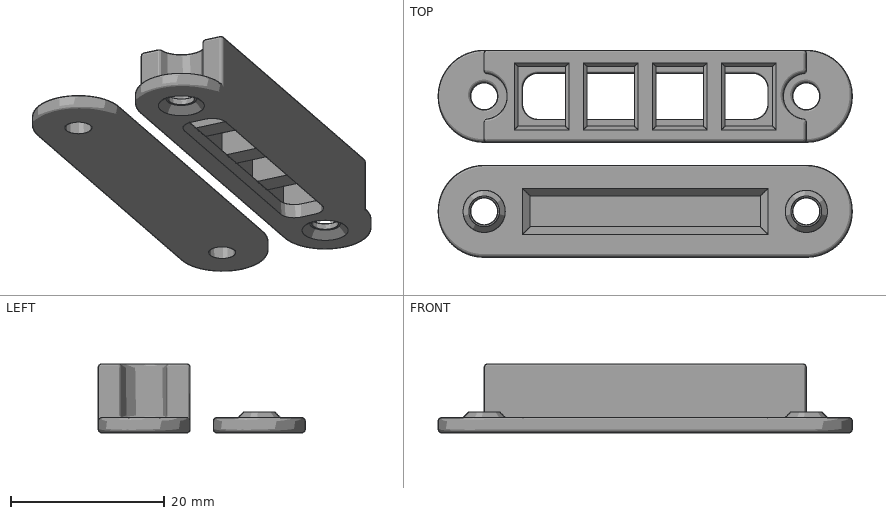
import cadquery as cq

hole_spacing = 42.0
body_width = 12.0
body_length = hole_spacing + body_width
plate_thickness = 2.0
screw_hole_radius = 3.5 / 2
rim_radius = 0.5
slope_angle = 45.0
body_gap = 3.0
body_offset = (body_width + body_gap) / 2
hole_centers = [(-hole_spacing / 2, 0), (hole_spacing / 2, 0)]

housing_height = 9.0
end_clearance_radius = 3.0
upright_edge_radius = 0.4
top_edge_radius = 0.5
foot_radius = 0.2
hole_mouth_radius = 0.5

pocket_count = 4
pocket_pitch = 9.0
pocket_length = 6.15
pocket_width = 7.75
pocket_chamfer = 0.5
pocket_centers = [((i - (pocket_count - 1) / 2) * pocket_pitch, 0) for i in range(pocket_count)]

channel_length = 32.0
channel_width = 6.0
channel_corner_radius = 2.0
channel_mouth_radius = 0.25
lid_recess_depth = 1.0

collar_height = 0.75
collar_lip_radius = 0.25
collar_top_radius = screw_hole_radius + collar_lip_radius
collar_base_radius = collar_top_radius + collar_height
seat_clearance = 0.25
seat_depth = collar_height + seat_clearance
seat_base_radius = collar_base_radius + seat_clearance

edge_match_tolerance = 0.001


def is_foot_edge(edge):
    """True for an edge where an end of the block meets the top of the plate."""
    box = edge.BoundingBox()
    within_block = max(-box.xmin, box.xmax) < hole_spacing / 2 + edge_match_tolerance
    height_error = max(abs(box.zmin - plate_thickness), abs(box.zmax - plate_thickness))
    return within_block and height_error < edge_match_tolerance


def make_plate():
    """Round-ended plate with rounded top and bottom rims."""
    plate = cq.Workplane("XY").slot2D(body_length, body_width).extrude(plate_thickness)
    return plate.faces("|Z").edges().fillet(rim_radius)


def make_block():
    """Block that fills the plate's top rim along the sides and has a round clearance at each end."""
    block = (
        cq.Workplane("XY", origin=(0, 0, rim_radius))
        .rect(hole_spacing, body_width)
        .extrude(housing_height - rim_radius)
    )
    clearances = (
        cq.Workplane("XY")
        .pushPoints(hole_centers)
        .circle(end_clearance_radius)
        .extrude(housing_height)
    )
    block = block.cut(clearances)
    return block.edges("|Z").fillet(upright_edge_radius).edges(">Z").fillet(top_edge_radius)


def make_screw_hole_cutter():
    """One screw hole with a rounded mouth on top and a conical collar seat underneath."""
    mouth_bottom = plate_thickness - hole_mouth_radius
    mouth_radius = screw_hole_radius + hole_mouth_radius
    return (
        cq.Workplane("XZ")
        .lineTo(seat_base_radius, 0)
        .lineTo(seat_base_radius - seat_depth, seat_depth)
        .lineTo(screw_hole_radius, seat_depth)
        .lineTo(screw_hole_radius, mouth_bottom)
        .radiusArc((mouth_radius, plate_thickness), hole_mouth_radius)
        .lineTo(0, plate_thickness)
        .close()
        .revolve(360, (0, 0), (0, 1))
    )


def make_pockets():
    """Rectangular pockets down to the plate, each with a chamfered mouth."""
    pockets = (
        cq.Workplane("XY", origin=(0, 0, plate_thickness))
        .pushPoints(pocket_centers)
        .rect(pocket_length, pocket_width)
        .extrude(housing_height - plate_thickness)
    )
    mouths = (
        cq.Workplane("XY", origin=(0, 0, housing_height))
        .pushPoints(pocket_centers)
        .rect(pocket_length + 2 * pocket_chamfer, pocket_width + 2 * pocket_chamfer)
        .extrude(-pocket_chamfer, taper=slope_angle)
    )
    return pockets.union(mouths)


def make_channel():
    """Round-cornered channel through the floor, with its mouth rounded outward at the top."""
    channel = cq.Workplane("XY").rect(channel_length, channel_width).extrude(plate_thickness)
    channel = channel.edges("|Z").fillet(channel_corner_radius)
    floor = cq.Workplane("XY").rect(hole_spacing, body_width).extrude(plate_thickness)
    slotted_floor = floor.cut(channel)
    mouth = slotted_floor.faces(">Z").val().innerWires()[0]
    slotted_floor = slotted_floor.newObject(mouth.Edges()).fillet(channel_mouth_radius)
    return floor.cut(slotted_floor)


def make_collar():
    """Conical collar whose rounded lip runs into the screw hole."""
    collar_top = plate_thickness + collar_height
    return (
        cq.Workplane("XZ")
        .moveTo(screw_hole_radius, 0)
        .lineTo(collar_base_radius, 0)
        .lineTo(collar_base_radius, plate_thickness)
        .lineTo(collar_top_radius, collar_top)
        .radiusArc((screw_hole_radius, collar_top - collar_lip_radius), -collar_lip_radius)
        .close()
        .revolve(360, (0, 0), (0, 1))
    )


def make_housing():
    """Plate and block in one piece, with screw holes, pockets and the floor channel."""
    housing = make_plate().union(make_block())
    housing = housing.edges().filter(is_foot_edge).fillet(foot_radius)
    for x, y in hole_centers:
        housing = housing.cut(make_screw_hole_cutter().translate((x, y, 0)))
    housing = housing.cut(make_pockets()).cut(make_channel())
    return housing.translate((0, body_offset, 0))


def make_lid():
    """Plate with a sloped recess and a collar around each screw hole."""
    lid = make_plate()
    recess = (
        cq.Workplane("XY", origin=(0, 0, plate_thickness))
        .rect(channel_length, channel_width)
        .extrude(-lid_recess_depth, taper=slope_angle)
    )
    screw_holes = (
        cq.Workplane("XY").pushPoints(hole_centers).circle(screw_hole_radius).extrude(plate_thickness)
    )
    lid = lid.cut(recess).cut(screw_holes)
    for x, y in hole_centers:
        lid = lid.union(make_collar().translate((x, y, 0)))
    return lid.translate((0, -body_offset, 0))


housing = make_housing()
lid = make_lid()
result = cq.Compound.makeCompound([housing.val(), lid.val()])